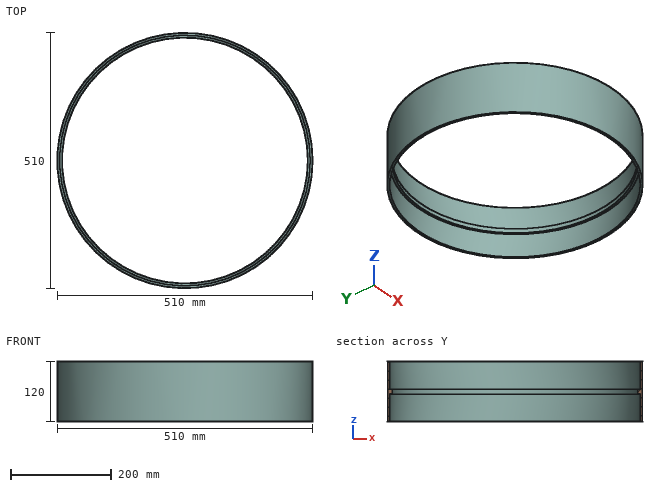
import cadquery as cq

outer_diameter = 510.0
wall_thickness = 5.0
height = 120.0

rib_depth = 5.0
rib_height = 10.0

bore_diameter = outer_diameter - 2 * wall_thickness
rib_inner_diameter = bore_diameter - 2 * rib_depth
rib_bottom = (height - rib_height) / 2


def ring(outer, inner, bottom, length):
    """Plain ring about Z, given by its diameters, base height and length."""
    base = cq.Workplane("XY").workplane(offset=bottom)
    return base.circle(outer / 2).circle(inner / 2).extrude(length)


shell = ring(outer_diameter, bore_diameter, 0, height)

rib = ring(outer_diameter, rib_inner_diameter, rib_bottom, rib_height)

result = shell.union(rib).clean()